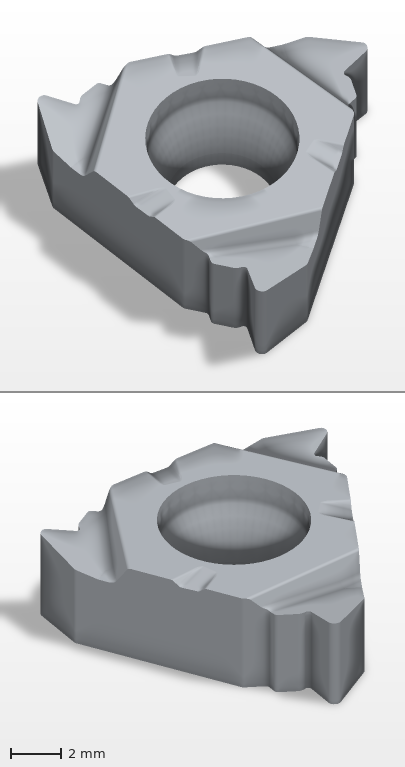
import cadquery as cq
import math

thickness = 4.35
corner_turns = (0, 120, 240)

side_distance = 4.76
entry_side = (-60, side_distance)
seat_step = (-30, 5.41)
ledge = (-90, 1.97)
crest = (-30, 5.86)
notch_wall = (10, 5.86)
lower_flank = (-90, 0.67)
tip_flat = (-30, 6.9)
upper_flank = (30, 6.52)
exit_side = (60, side_distance)

side_radius = 0.27
step_radius = 0.19
notch_radius = 0.16
crest_radius = 0.4
tip_radius = 0.27

groove_x = 5.11
groove_y = 1.76
groove_depth = 0.98
groove_floor_depth = 0.94
groove_turn = 0.7
groove_fall = 5.0
rake_rise = 8.7
groove_wall_angle = 60.0
groove_radius = 0.32
groove_half_length = 8.05
groove_reach = 5.37
lip_x = 4.56
lip_radius = 0.16

recess_mouth_radius = 3.07
recess_end_radius = 2.99
recess_depth = 1.02
seat_radius = 2.91
seat_depth = 1.27
bore_radius = 2.2
bore_depth = 3.62

mark_y = -0.23
mark_turn = -13.0
mark_length = 1.33
mark_depth = 0.24
mark_floor_width = 0.8
mark_wall_angle = 38.0
mark_floor_radius = 0.27
mark_edge_radius = 0.16
mark_overrun = 0.67


def meet(first, second):
    """Point where two straight edges cross."""
    a, b = math.radians(first[0]), math.radians(second[0])
    turn = math.sin(b - a)
    x = (first[1] * math.sin(b) - second[1] * math.sin(a)) / turn
    y = (second[1] * math.cos(a) - first[1] * math.cos(b)) / turn
    return x, y


def turned(point, angle):
    """Point turned about the insert axis."""
    c, s = math.cos(math.radians(angle)), math.sin(math.radians(angle))
    return point[0] * c - point[1] * s, point[0] * s + point[1] * c


def repeat(cutter):
    """The same cutter at all three corners."""
    copies = cq.Workplane("XY")
    for angle in corner_turns:
        copies = copies.add(cutter.rotate((0, 0, 0), (0, 0, 1), angle))
    return copies.combine()


def make_plate():
    corners = [
        (meet(entry_side, seat_step), side_radius),
        (meet(seat_step, ledge), step_radius),
        (meet(ledge, crest), step_radius),
        (meet(crest, notch_wall), crest_radius),
        (meet(notch_wall, lower_flank), notch_radius),
        (meet(lower_flank, tip_flat), tip_radius),
        (meet(tip_flat, upper_flank), tip_radius),
        (meet(upper_flank, exit_side), side_radius),
    ]
    outline = [turned(point, angle) for angle in corner_turns for point, _ in corners]
    plate = cq.Workplane("XY").polyline(outline).close().extrude(thickness)
    for point, radius in corners:
        for angle in corner_turns:
            x, y = turned(point, angle)
            edge = cq.selectors.NearestToPointSelector((x, y, thickness / 2))
            plate = plate.edges("|Z").edges(edge).fillet(radius)
    return plate


def make_groove():
    """Wedge between the rake face and the groove wall, levelled off at its deep end."""
    turn, fall = math.radians(groove_turn), math.radians(groove_fall)
    plane = cq.Plane(
        origin=(groove_x, groove_y, thickness - groove_depth),
        xDir=(math.cos(turn), -math.sin(turn), 0),
        normal=(-math.sin(turn), -math.cos(turn), math.tan(fall)),
    )
    rake_end = (groove_reach, groove_reach * math.tan(math.radians(rake_rise)))
    wall_end = (-groove_reach / math.tan(math.radians(groove_wall_angle)), groove_reach)
    wedge = (
        cq.Workplane(plane)
        .polyline([(0, 0), rake_end, (groove_reach, groove_reach), wall_end])
        .close()
        .extrude(groove_half_length, both=True)
    )
    floor_z = thickness - groove_floor_depth
    room = 4 * groove_half_length
    above_floor = cq.Workplane("XY", origin=(0, 0, floor_z)).rect(room, room).extrude(room)
    wedge = wedge.intersect(above_floor)

    rake_edge = cq.selectors.NearestToPointSelector((groove_x, -groove_y, floor_z))
    floor_edge = cq.selectors.NearestToPointSelector((groove_x, 3 * groove_y, floor_z))
    return wedge.edges(rake_edge + floor_edge).fillet(groove_radius)


def round_groove_lips(body):
    """Round the edge where each groove wall meets the top face."""
    for angle in corner_turns:
        x, y = turned((lip_x, 0), angle)
        lip = cq.selectors.NearestToPointSelector((x, y, thickness))
        body = body.faces(">Z").edges(lip).fillet(lip_radius)
    return body


def make_hole():
    profile = (
        cq.Workplane("XZ")
        .moveTo(0, 0)
        .lineTo(bore_radius, 0)
        .lineTo(bore_radius, thickness - bore_depth)
        .tangentArcPoint((seat_radius, thickness - seat_depth), relative=False)
        .tangentArcPoint((recess_end_radius, thickness - recess_depth), relative=False)
        .lineTo(recess_mouth_radius, thickness)
        .lineTo(0, thickness)
        .close()
    )
    return profile.revolve(360, (0, 0, 0), (0, 1, 0))


def make_mark():
    """Trough whose floor slopes from the top face down to the middle of the -X side."""
    run = math.radians(mark_turn)
    slope = mark_depth / mark_length
    plane = cq.Plane(
        origin=(-side_distance, mark_y, thickness - mark_depth),
        xDir=(-math.sin(run), math.cos(run), 0),
        normal=(math.cos(run), math.sin(run), slope),
    )
    half_floor = mark_floor_width / 2
    rise = 2 * mark_depth
    half_mouth = half_floor + rise / math.tan(math.radians(mark_wall_angle))
    trough = (
        cq.Workplane(plane)
        .polyline([(-half_floor, 0), (half_floor, 0), (half_mouth, rise), (-half_mouth, rise)])
        .close()
        .extrude(mark_overrun + mark_length, both=True)
    )
    for across in (-half_floor, half_floor):
        corner = plane.toWorldCoords((across, 0, 0)).toTuple()
        trough = trough.edges(cq.selectors.NearestToPointSelector(corner)).fillet(mark_floor_radius)
    return trough


def round_mark_rims(body):
    """Round the edge between the top face and each mark; it runs on smoothly from the picked edge."""
    for angle in corner_turns:
        x, y = turned((mark_length - side_distance, mark_y), angle)
        rim = cq.selectors.NearestToPointSelector((x, y, thickness))
        body = body.faces(">Z").edges(rim).fillet(mark_edge_radius)
    return body


body = make_plate().cut(repeat(make_groove()))
body = round_groove_lips(body)
body = round_mark_rims(body.cut(repeat(make_mark())))
result = body.cut(make_hole())